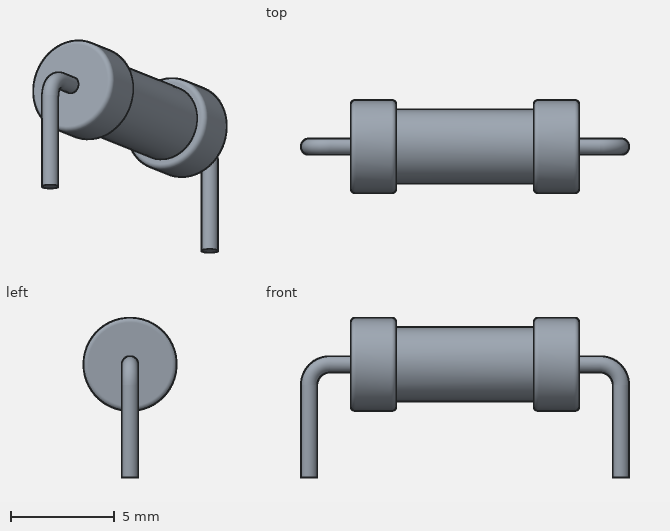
import cadquery as cq

body_length = 11.0
core_diameter = 3.6
cap_diameter = 4.5
cap_length = body_length / 5
cap_rounding = cap_diameter / 20

wire_diameter = 0.8
lead_pitch = 15.0
bend_radius = 1.0
overall_height = 7.7

lead_bottom_z = cap_diameter / 2 - overall_height
half_pitch = lead_pitch / 2
half_body = body_length / 2


def cylinder_along_x(diameter, start_x, length):
    return cq.Workplane("YZ", origin=(start_x, 0, 0)).circle(diameter / 2).extrude(length)


def make_core():
    return cylinder_along_x(core_diameter, -half_body, body_length)


def make_cap(start_x):
    """End cap with both rims rounded."""
    return cylinder_along_x(cap_diameter, start_x, cap_length).edges().fillet(cap_rounding)


def make_left_lead():
    """Wire from the left cap face, through a quarter bend, down to its cut end."""
    horizontal = cylinder_along_x(
        wire_diameter, -half_body, -(half_pitch - bend_radius - half_body)
    )
    bend_start_x = -half_pitch + bend_radius
    bend = (
        cq.Workplane("YZ", origin=(bend_start_x, 0, 0))
        .circle(wire_diameter / 2)
        .revolve(90, (0, -bend_radius, 0), (-1, -bend_radius, 0))
    )
    vertical = (
        cq.Workplane("XY", origin=(-half_pitch, 0, lead_bottom_z))
        .circle(wire_diameter / 2)
        .extrude(-bend_radius - lead_bottom_z)
    )
    return horizontal.union(bend).union(vertical)


left_lead = make_left_lead()
right_lead = left_lead.mirror("YZ")

result = make_core()
for cap_start_x in (-half_body, half_body - cap_length):
    result = result.union(make_cap(cap_start_x))
for lead in (left_lead, right_lead):
    result = result.union(lead)